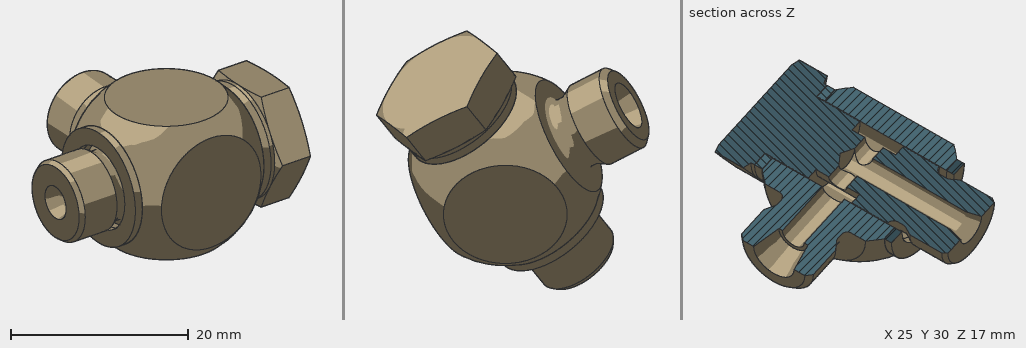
import cadquery as cq
import math


body_width = 17.0
body_half = body_width / 2
sphere_diameter = 22.0
body_bore_diameter = 10.0

neck_length = 7.98
neck_diameter = 10.0
neck_thread_length = 4.98
neck_tip_chamfer = 0.7
neck_groove_diameter = 8.4
neck_root_depth = 2.1

cone_mouth_diameter = 5.58
cone_seat_diameter = 4.0
cone_half_angle = 12
passage_diameter = 3

groove_fillet = 0.8
groove_taper_angle = 30

washer_diameter = 14.0
washer_thickness = 1.0

bolt_length = 30
hex_width = 14.0
hex_height = 4.5
hex_chamfer_angle = 15
collar_height = 0.5
shank_diameter = 9.95
bolt_thread_diameter = 9.72
bolt_thread_length = 5.0
bolt_groove_diameter = 8.3
bolt_groove_length = 3
bolt_tip_chamfer_length = 0.57
bolt_tip_chamfer_depth = 0.4
waist_diameter = 7.0
waist_length = 6
cross_hole_diameter = 2.5
cross_hole_y = 0.5
bolt_mouth_diameter = 4.0
bolt_mouth_depth = 1.8
bolt_bore_diameter = 3
drill_point_angle = 118

collar_base_y = body_half + washer_thickness
hex_base_y = collar_base_y + collar_height
hex_top_y = hex_base_y + hex_height
bolt_tip_y = hex_top_y - bolt_length
bolt_thread_end_y = bolt_tip_y + bolt_thread_length
land_start_y = bolt_thread_end_y + bolt_groove_length
waist_start_y = cross_hole_y - waist_length / 2
waist_end_y = cross_hole_y + waist_length / 2
bolt_bore_end_y = cross_hole_y + cross_hole_diameter / 2


def sin_deg(angle):
    return math.sin(math.radians(angle))


def cos_deg(angle):
    return math.cos(math.radians(angle))


def tan_deg(angle):
    return math.tan(math.radians(angle))


def add_relief_groove(profile, start, end, thread_radius, groove_radius):
    """Continue a (radius, height) profile with a thread relief groove from start to end.

    The groove drops from the thread by a straight taper, is rounded at its floor and
    ends in a quarter round that rises by groove_fillet.
    """
    taper_bottom_radius = groove_radius + groove_fillet * (1 - cos_deg(groove_taper_angle))
    taper_bottom = start + (thread_radius - taper_bottom_radius) / tan_deg(groove_taper_angle)
    floor_start = taper_bottom + groove_fillet * sin_deg(groove_taper_angle)
    floor_end = end - groove_fillet

    taper_half_angle = groove_taper_angle / 2
    taper_round_middle = (
        groove_radius + groove_fillet * (1 - cos_deg(taper_half_angle)),
        floor_start - groove_fillet * sin_deg(taper_half_angle),
    )
    quarter_round_middle = (
        groove_radius + groove_fillet * (1 - cos_deg(45)),
        floor_end + groove_fillet * sin_deg(45),
    )
    return (
        profile.lineTo(taper_bottom_radius, taper_bottom)
        .threePointArc(taper_round_middle, (groove_radius, floor_start))
        .lineTo(groove_radius, floor_end)
        .threePointArc(quarter_round_middle, (groove_radius + groove_fillet, end))
    )


def revolve_about_y(profile):
    return profile.close().revolve(360, (0, 0, 0), (0, 1, 0))


def cylinder_along_y(diameter, start, end):
    """Cylinder on the Y axis between two stations."""
    return cq.Workplane("XZ", origin=(0, start, 0)).circle(diameter / 2).extrude(start - end)


def make_neck():
    """Pipe neck, turned about Y from its tip at the origin, then laid along -X."""
    radius = neck_diameter / 2
    profile = (
        cq.Workplane("XY")
        .lineTo(radius - neck_tip_chamfer, 0)
        .lineTo(radius, neck_tip_chamfer)
        .lineTo(radius, neck_thread_length)
    )
    groove_radius = neck_groove_diameter / 2
    root_radius = groove_radius + groove_fillet
    profile = add_relief_groove(profile, neck_thread_length, neck_length, radius, groove_radius)
    root_y = neck_length + neck_root_depth
    profile = profile.lineTo(root_radius, root_y).lineTo(0, root_y)
    return lay_along_neck(revolve_about_y(profile))


def make_neck_bore():
    """Tube cone and passage, turned about Y from the neck tip, then laid along -X."""
    mouth_radius = cone_mouth_diameter / 2
    seat_radius = cone_seat_diameter / 2
    seat_depth = (mouth_radius - seat_radius) / tan_deg(cone_half_angle)
    passage_end = neck_length + body_half
    profile = (
        cq.Workplane("XY")
        .lineTo(mouth_radius, 0)
        .lineTo(seat_radius, seat_depth)
        .lineTo(passage_diameter / 2, seat_depth)
        .lineTo(passage_diameter / 2, passage_end)
        .lineTo(0, passage_end)
    )
    return lay_along_neck(revolve_about_y(profile))


def lay_along_neck(turned):
    """Turn a Y axis shape to run along +X from the tip of the neck."""
    return turned.rotate((0, 0, 0), (0, 0, 1), -90).translate((-body_half - neck_length, 0, 0))


def make_body():
    """Rounded cube and neck, with a bore along Y for the bolt and a bore in from the neck."""
    cube = cq.Workplane("XY").box(body_width, body_width, body_width)
    rounded_cube = cube.intersect(cq.Workplane("XY").sphere(sphere_diameter / 2))
    bore = cylinder_along_y(body_bore_diameter, -body_half, body_half)
    return rounded_cube.union(make_neck()).cut(bore).cut(make_neck_bore())


def make_washer(start):
    """Flat ring on the Y axis, starting at the given station."""
    end = start + washer_thickness
    disc = cylinder_along_y(washer_diameter, start, end)
    return disc.cut(cylinder_along_y(body_bore_diameter, start, end))


def make_hex_head():
    """Hexagon with flats facing +Z and -Z, both ends chamfered from the flats to the corners."""
    corner_radius = hex_width / 2 / cos_deg(30)
    flat_radius = hex_width / 2
    chamfer_height = (corner_radius - flat_radius) * tan_deg(hex_chamfer_angle)
    hexagon = (
        cq.Workplane("XZ", origin=(0, hex_base_y, 0))
        .polygon(6, 2 * corner_radius)
        .extrude(-hex_height)
    )
    chamfered_blank = revolve_about_y(
        cq.Workplane("XY")
        .moveTo(0, hex_base_y)
        .lineTo(flat_radius, hex_base_y)
        .lineTo(corner_radius, hex_base_y + chamfer_height)
        .lineTo(corner_radius, hex_top_y - chamfer_height)
        .lineTo(flat_radius, hex_top_y)
        .lineTo(0, hex_top_y)
    )
    return hexagon.intersect(chamfered_blank)


def make_bolt_shank():
    """Collar, shank with its waist, relief groove and threaded end."""
    thread_radius = bolt_thread_diameter / 2
    shank_radius = shank_diameter / 2
    waist_radius = waist_diameter / 2
    collar_radius = washer_diameter / 2
    profile = (
        cq.Workplane("XY")
        .moveTo(0, bolt_tip_y)
        .lineTo(thread_radius - bolt_tip_chamfer_depth, bolt_tip_y)
        .lineTo(thread_radius, bolt_tip_y + bolt_tip_chamfer_length)
        .lineTo(thread_radius, bolt_thread_end_y)
    )
    profile = add_relief_groove(
        profile, bolt_thread_end_y, land_start_y, thread_radius, bolt_groove_diameter / 2
    )
    return revolve_about_y(
        profile.lineTo(shank_radius, land_start_y)
        .lineTo(shank_radius, waist_start_y)
        .lineTo(waist_radius, waist_start_y)
        .lineTo(waist_radius, waist_end_y)
        .lineTo(shank_radius, waist_end_y)
        .lineTo(shank_radius, collar_base_y)
        .lineTo(collar_radius, collar_base_y)
        .lineTo(collar_radius, hex_base_y)
        .lineTo(0, hex_base_y)
    )


def make_bolt_bore():
    """Blind bore with a tapered mouth and a drill point, ending past the cross hole."""
    mouth_radius = bolt_mouth_diameter / 2
    bore_radius = bolt_bore_diameter / 2
    taper_end_y = bolt_tip_y + bolt_mouth_depth
    point_y = bolt_bore_end_y + bore_radius / tan_deg(drill_point_angle / 2)
    return revolve_about_y(
        cq.Workplane("XY")
        .moveTo(0, bolt_tip_y)
        .lineTo(mouth_radius, bolt_tip_y)
        .lineTo(bore_radius, taper_end_y)
        .lineTo(bore_radius, bolt_bore_end_y)
        .lineTo(0, point_y)
    )


def make_bolt():
    """Bolt with its axial bore and a cross hole right through the waist."""
    cross_hole = (
        cq.Workplane("YZ", origin=(-shank_diameter / 2, cross_hole_y, 0))
        .circle(cross_hole_diameter / 2)
        .extrude(shank_diameter)
    )
    return make_bolt_shank().union(make_hex_head()).cut(make_bolt_bore()).cut(cross_hole)


body = make_body()
bolt = make_bolt()
washer_starts = (-body_half - washer_thickness, body_half)
washers = [make_washer(start) for start in washer_starts]

result = cq.Compound.makeCompound([body.val(), bolt.val(), *[washer.val() for washer in washers]])